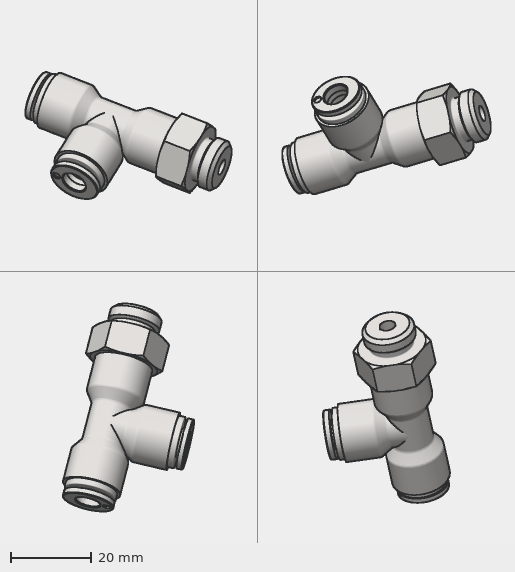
import cadquery as cq
import math


HEX_FLATS = 17.0
HEX_LENGTH = 8.0
HEX_CORNER_RADIUS = HEX_FLATS / math.sqrt(3)
HEX_FACE_RADIUS = 8.6
HEX_CHAMFER = 0.5
THREAD_DIA = 13.15
THREAD_END_LENGTH = 6.0
THREAD_CHAMFER = 1.0
RELIEF_DIA = 11.2
RELIEF_LENGTH = 2.0
RELIEF_FILLET = 0.4
RELIEF_ANGLE = 30.0

ARM_LENGTH = 20.645
BODY_END = 16.805
BODY_DIA = 14.7
NECK_DIA = 10.7
NECK_END = 5.0
CONE_END = 8.0
CONE_FILLET = 1.0
FLOW_DIA = 4.0
TUBE_DIA = 6.2
TUBE_STOP = 6.0

COLLAR_DIA = 13.16
COLLAR_END = 18.4
COLLAR_FILLET = 0.2

FLANGE_THICKNESS = 1.5
FLANGE_LONG = 13.0
FLANGE_SHORT = 11.6
FLANGE_CHAMFER = 0.2
RING_NECK_DIA = 7.5
MOUTH_CHAMFER = 0.25
MARK_DIA = 2.0
MARK_DEPTH = 0.5
MARK_OFFSET = 4.85

FLANGE_START = ARM_LENGTH - FLANGE_THICKNESS
HEX_END = BODY_END + HEX_LENGTH
THREAD_END = HEX_END + THREAD_END_LENGTH


def arm_plane(distance):
    """Plane across the -X arm, facing outward, with its x direction along -Y."""
    return cq.Plane(origin=(-distance, 0, 0), xDir=(0, -1, 0), normal=(-1, 0, 0))


def arm_cylinder(diameter, start, end):
    return cq.Workplane(arm_plane(start)).circle(diameter / 2).extrude(end - start)


def to_branch(body):
    """Turn a body of the -X arm onto the -Y arm."""
    return body.rotate((0, 0, 0), (1, 1, 0), 180)


def revolve_about_x(points):
    return cq.Workplane("XY").polyline(points).close().revolve(360, (0, 0, 0), (1, 0, 0))


def make_arm():
    """Solid arm: neck, flaring cone and body, with both cone edges rounded."""
    neck_radius = NECK_DIA / 2
    body_radius = BODY_DIA / 2
    arm = revolve_about_x([
        (0, 0),
        (0, neck_radius),
        (-NECK_END, neck_radius),
        (-CONE_END, body_radius),
        (-BODY_END, body_radius),
        (-BODY_END, 0),
    ])
    margin = (CONE_END - NECK_END) / 2
    cone_edges = cq.selectors.BoxSelector(
        (-CONE_END - margin, -BODY_DIA, -BODY_DIA),
        (-NECK_END + margin, BODY_DIA, BODY_DIA),
    )
    return arm.edges("%CIRCLE").edges(cone_edges).fillet(CONE_FILLET)


def make_housing():
    arm = make_arm()
    housing = arm.union(arm.mirror("YZ")).union(to_branch(arm))
    flow = arm_cylinder(FLOW_DIA, 0, BODY_END)
    socket = arm_cylinder(TUBE_DIA, TUBE_STOP, BODY_END)
    port = flow.union(socket)
    return housing.cut(port).cut(to_branch(port)).cut(flow.mirror("YZ"))


def make_threaded_end():
    """Hexagon and external thread, resting on the +X face of the housing."""
    hexagon = (
        cq.Workplane("YZ", origin=(BODY_END, 0, 0))
        .polygon(6, 2 * HEX_CORNER_RADIUS)
        .extrude(HEX_LENGTH)
    )
    chamfer_envelope = revolve_about_x([
        (BODY_END, 0),
        (BODY_END, HEX_FACE_RADIUS),
        (BODY_END + HEX_CHAMFER, HEX_CORNER_RADIUS),
        (HEX_END - HEX_CHAMFER, HEX_CORNER_RADIUS),
        (HEX_END, HEX_FACE_RADIUS),
        (HEX_END, 0),
    ])
    hexagon = hexagon.intersect(chamfer_envelope)

    relief_radius = RELIEF_DIA / 2
    thread_radius = THREAD_DIA / 2
    relief_end = HEX_END + RELIEF_LENGTH
    shoulder = (thread_radius - relief_radius) * math.tan(math.radians(RELIEF_ANGLE))
    root_middle = RELIEF_FILLET * (1 - math.sqrt(0.5))
    thread = (
        cq.Workplane("XY")
        .moveTo(HEX_END, 0)
        .lineTo(HEX_END, relief_radius + RELIEF_FILLET)
        .threePointArc(
            (HEX_END + root_middle, relief_radius + root_middle),
            (HEX_END + RELIEF_FILLET, relief_radius),
        )
        .lineTo(relief_end, relief_radius)
        .lineTo(relief_end + shoulder, thread_radius)
        .lineTo(THREAD_END - THREAD_CHAMFER, thread_radius)
        .lineTo(THREAD_END, thread_radius - THREAD_CHAMFER)
        .lineTo(THREAD_END, 0)
        .close()
        .revolve(360, (0, 0, 0), (1, 0, 0))
    )
    bore = arm_cylinder(FLOW_DIA, BODY_END, THREAD_END).mirror("YZ")
    return hexagon.union(thread).cut(bore)


def make_collar():
    collar = arm_cylinder(COLLAR_DIA, BODY_END, COLLAR_END).faces("<X").edges().fillet(COLLAR_FILLET)
    return collar.cut(arm_cylinder(TUBE_DIA, BODY_END, COLLAR_END))


def make_release_ring():
    """Oval push flange on a short round neck, with a round mark sunk in its face."""
    flange = (
        cq.Workplane(arm_plane(FLANGE_START))
        .ellipse(FLANGE_LONG / 2, FLANGE_SHORT / 2)
        .extrude(FLANGE_THICKNESS)
        .faces("<X")
        .edges()
        .chamfer(FLANGE_CHAMFER)
    )
    neck = arm_cylinder(RING_NECK_DIA, COLLAR_END, FLANGE_START)
    bore = arm_cylinder(TUBE_DIA, COLLAR_END, ARM_LENGTH)
    mark = (
        cq.Workplane(arm_plane(ARM_LENGTH - MARK_DEPTH))
        .center(MARK_OFFSET, 0)
        .circle(MARK_DIA / 2)
        .extrude(MARK_DEPTH)
    )
    ring = flange.union(neck).cut(bore)
    ring = ring.faces("<X").edges("%CIRCLE").chamfer(MOUTH_CHAMFER)
    return ring.cut(mark)


housing = make_housing()
threaded_end = make_threaded_end()
bodies = [housing.val(), threaded_end.val()]
for arm_part in (make_collar(), make_release_ring()):
    bodies.append(arm_part.val())
    bodies.append(to_branch(arm_part).val())

result = cq.Compound.makeCompound(bodies)